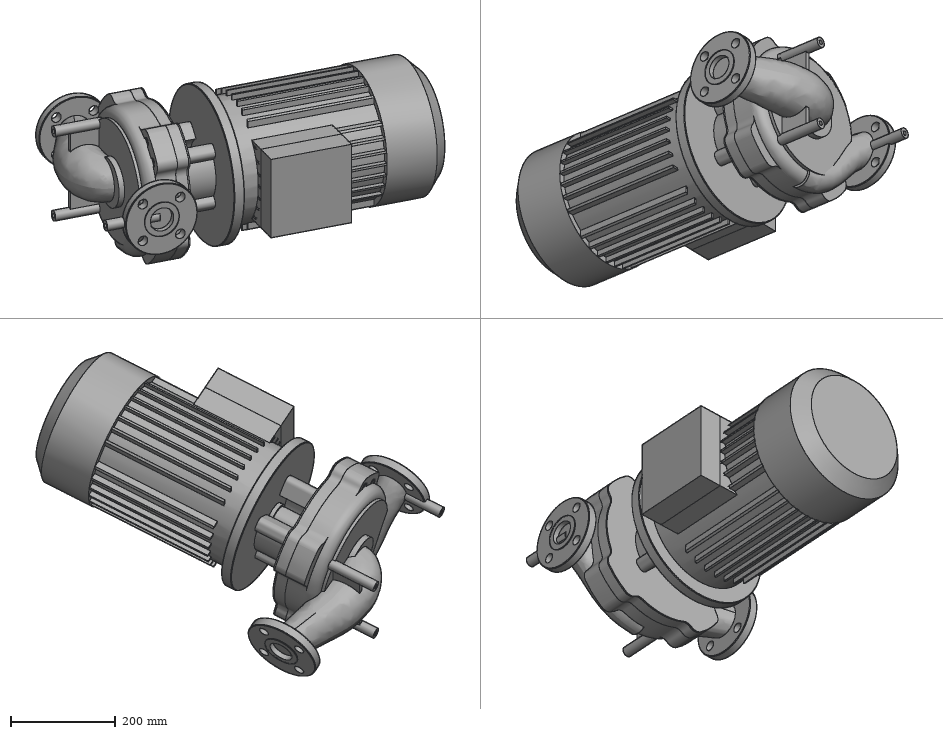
import cadquery as cq
import math


FLANGE_FRONT = 164.0
FLANGE_BACK = 186.0
FLANGE_RADIUS = 159.0
FLANGE_CHAMFER = 1.5
CORE_RADIUS = 127.5
FIN_TIP_RADIUS = 138.5
FIN_THICKNESS = 4.5
FIN_PITCH = 25.0
FINS_EACH_SIDE = 3
FIN_START = 228.0
COVER_START = 493.0
COVER_CONE_START = 597.0
COVER_END = 626.0
COVER_RADIUS = 140.0
COVER_END_RADIUS = 111.0

BOX_INNER_X = 95.0
BOX_SPLIT_X = 140.0
BOX_OUTER_X = 189.0
BOX_HEIGHT = 167.0
BOX_BACK = 397.0

SHAFT_RADIUS = 30.0
SHAFT_END = 155.5
COUPLING_RADIUS = 26.5

LANTERN_BASE_FRONT = 76.5
LANTERN_BASE_BACK = 79.5
LANTERN_RADIUS = 71.5
LANTERN_BORE_RADIUS = 51.5
ARM_END = 89.0
ARM_WIDTH = 29.5
ARM_CORNER = 11.0
ARM_ANGLES = (45, 135, 225, 315)

PLATE_FRONT = 53.0
LOBE_FRONT = 11.0
RIM_FRONT = -11.0
RIM_ROUNDING = 21.0
FACE_FRONT = -18.0
HUB_FRONT = -29.5
DRUM_RADIUS = 145.0
LOBE_RADIUS = 168.5
LOBE_CORNER = 20.0
LOBE_FOOT_ANGLE = 21.6
FACE_RADIUS = DRUM_RADIUS - RIM_ROUNDING
HUB_RADIUS = 50.0
SPOT_RADIUS = 9.0
SPOT_DEPTH = 1.5
SPOT_CIRCLE_RADIUS = 146.0
SPOT_ANGLES = (36.5, 53.5)

SUCTION_FACE = -250.5
DISCHARGE_FACE = 190.0
PORT_RADIUS = 75.0
PORT_THICKNESS = 19.0
PORT_CHAMFER = 1.5
RAISED_FACE_RADIUS = 36.0
RAISED_FACE_HEIGHT = 2.0
PORT_BORE_RADIUS = 24.0
PORT_BORE_DEPTH = 11.0
BOLT_CIRCLE_RADIUS = 55.0
BOLT_HOLE_RADIUS = 9.95
BOLT_HOLES = 4

FOOT_RADIUS = 10.7
FOOT_END = -110.5
FOOT_HOLE_RADIUS = 4.5
FOOT_HOLE_DEPTH = 15.0
REAR_FOOT_X = -79.0
REAR_FOOT_Z = 90.0
FRONT_FOOT_X = 171.5
WEB_THICKNESS = 9.5
WEB_FRONT = -77.0


def disc(radius, y_start, y_end, x=0.0, z=0.0):
    """Round bar along Y."""
    return cq.Workplane(
        cq.Solid.makeCylinder(radius, y_end - y_start, cq.Vector(x, y_start, z), cq.Vector(0, 1, 0))
    )


def block(x_range, y_range, z_range):
    """Box between the given limits."""
    size = [high - low for low, high in (x_range, y_range, z_range)]
    corner = cq.Vector(x_range[0], y_range[0], z_range[0])
    return cq.Workplane(cq.Solid.makeBox(*size, corner))


def make_fan_cover():
    return (
        disc(COVER_RADIUS, COVER_START, COVER_END)
        .faces(">Y")
        .edges()
        .chamfer(COVER_END - COVER_CONE_START, COVER_RADIUS - COVER_END_RADIUS)
    )


def make_motor_housing():
    """Round core with fins that stand up along X and along Z."""
    fins = None
    for number in range(-FINS_EACH_SIDE, FINS_EACH_SIDE + 1):
        middle = number * FIN_PITCH
        across = (middle - FIN_THICKNESS / 2, middle + FIN_THICKNESS / 2)
        along = (-FIN_TIP_RADIUS, FIN_TIP_RADIUS)
        length = (FIN_START, COVER_START)
        pair = block(across, length, along).union(block(along, length, across))
        fins = pair if fins is None else fins.union(pair)
    fins = fins.intersect(disc(FIN_TIP_RADIUS, FIN_START, COVER_START))
    return disc(CORE_RADIUS, FLANGE_BACK, COVER_START).union(fins)


def make_motor_flange():
    return disc(FLANGE_RADIUS, FLANGE_FRONT, FLANGE_BACK).edges("%CIRCLE").chamfer(FLANGE_CHAMFER)


def make_terminal_box_base(housing):
    """Block that fits over the core and the fins of the housing."""
    half = BOX_HEIGHT / 2
    return block((BOX_INNER_X, BOX_SPLIT_X), (FIN_START, BOX_BACK), (-half, half)).cut(housing)


def make_terminal_box_lid():
    half = BOX_HEIGHT / 2
    return block((BOX_SPLIT_X, BOX_OUTER_X), (FIN_START, BOX_BACK), (-half, half))


def polar(radius, degrees):
    angle = math.radians(degrees)
    return (radius * math.cos(angle), radius * math.sin(angle))


def toward(start, target, distance):
    """Point at a distance from start on the line to target."""
    length = math.dist(start, target)
    return tuple(a + (b - a) * distance / length for a, b in zip(start, target))


def lobed_prism(y_front, y_back):
    """Drum outline with four lobes, where equal inner and outer arcs blend each lobe into the drum."""
    foot_circle = DRUM_RADIUS + LOBE_CORNER
    tip_circle = LOBE_RADIUS - LOBE_CORNER
    cosine = (foot_circle**2 + tip_circle**2 - (2 * LOBE_CORNER) ** 2) / (2 * foot_circle * tip_circle)
    tip_angle = LOBE_FOOT_ANGLE + math.degrees(math.acos(cosine))
    origin = (0, 0)

    def blend(quarter, sign):
        """Points of one side of a lobe, from the drum to the tip."""
        middle = 90 * quarter + 45
        foot = polar(foot_circle, middle + sign * (45 - LOBE_FOOT_ANGLE))
        tip = polar(tip_circle, middle + sign * (45 - tip_angle))
        start = toward(foot, origin, LOBE_CORNER)
        join = toward(foot, tip, LOBE_CORNER)
        end = toward(origin, tip, LOBE_RADIUS)
        inner = toward(foot, toward(start, join, math.dist(start, join) / 2), LOBE_CORNER)
        outer = toward(tip, toward(join, end, math.dist(join, end) / 2), LOBE_CORNER)
        return start, inner, join, outer, end

    outline = cq.Workplane("XZ", origin=(0, y_back, 0)).moveTo(*blend(0, -1)[0])
    for quarter in range(4):
        start, inner, join, outer, end = blend(quarter, -1)
        outline = outline.threePointArc(inner, join).threePointArc(outer, end)
        start, inner, join, outer, end = blend(quarter, 1)
        outline = outline.threePointArc(polar(LOBE_RADIUS, 90 * quarter + 45), end)
        outline = outline.threePointArc(outer, join).threePointArc(inner, start)
        outline = outline.threePointArc(polar(DRUM_RADIUS, 90 * (quarter + 1)), blend(quarter + 1, -1)[0])
    return outline.close().extrude(y_back - y_front)


def make_shaft():
    return disc(SHAFT_RADIUS, SHAFT_END, FLANGE_FRONT)


def make_coupling():
    return disc(COUPLING_RADIUS, LANTERN_BASE_BACK, SHAFT_END)


def make_lantern():
    """Two curved walls on a thin lobed base, each ending in two arms, with windows between them."""
    wall = disc(LANTERN_RADIUS, LANTERN_BASE_BACK, FLANGE_FRONT)
    window_half = LANTERN_RADIUS * math.sqrt(2)
    length = FLANGE_FRONT - LANTERN_BASE_BACK
    for turn in (0, 180):
        window = (
            cq.Workplane("XZ", origin=(0, FLANGE_FRONT, 0))
            .polyline([(0, 0), (window_half, window_half), (-window_half, window_half)])
            .close()
            .extrude(length)
            .rotate((0, 0, 0), (0, 1, 0), turn)
        )
        wall = wall.cut(window)
    for angle in ARM_ANGLES:
        arm = (
            block((0, ARM_END), (LANTERN_BASE_BACK, FLANGE_FRONT), (-ARM_WIDTH / 2, ARM_WIDTH / 2))
            .edges("|Y and >X")
            .fillet(ARM_CORNER)
            .rotate((0, 0, 0), (0, 1, 0), angle)
        )
        wall = wall.union(arm)
    wall = wall.cut(disc(LANTERN_BORE_RADIUS, LANTERN_BASE_BACK, FLANGE_FRONT))
    return wall.union(lobed_prism(LANTERN_BASE_FRONT, LANTERN_BASE_BACK))


def make_back_plate():
    return lobed_prism(PLATE_FRONT, LANTERN_BASE_FRONT)


def pipe(stations):
    """Smooth round pipe through stations given as centre, direction and radius, cut off inside the flanges."""
    rings = [
        cq.Wire.makeCircle(radius, cq.Vector(*centre), cq.Vector(*direction))
        for centre, direction, radius in stations
    ]
    reach = PORT_RADIUS + DRUM_RADIUS
    limits = (SUCTION_FACE + PORT_THICKNESS, DISCHARGE_FACE - PORT_THICKNESS)
    room = block(limits, (-reach, reach), (-reach, reach))
    return cq.Workplane(cq.Solid.makeLoft(rings)).intersect(room)


def make_suction_pipe():
    """Widening pipe that dips towards -Y and then bends up into the hub."""
    return pipe(
        [
            ((-250.5, 5.0, 0), (1, 0, 0), 33.0),
            ((-228.0, -3.0, 0), (1, 0, 0), 36.0),
            ((-206.0, -12.0, 0), (1, 0, 0), 39.0),
            ((-177.0, -23.0, 0), (1, 0, 0), 43.5),
            ((-147.0, -34.0, 0), (1, 0, 0), 48.0),
            ((-118.0, -42.0, 0), (1, 0, 0), 51.0),
            ((-88.0, -46.5, 0), (1, 0, 0), 51.5),
            ((-59.0, -48.0, 0), (1, 0.1, 0), 51.0),
            ((-33.0, -40.5, 0), (1, 0.6, 0), 48.5),
            ((-15.0, -23.5, 0), (0.5, 1, 0), 44.0),
            ((-7.0, 4.0, 0), (0, 1, 0), 39.0),
        ]
    )


def make_discharge_pipe():
    """Pipe that leaves the bottom of the drum and climbs to the discharge port."""
    return pipe(
        [
            ((0, 9.0, -126.0), (1, 0, 0), 25.0),
            ((51.5, 8.0, -113.0), (1, 0, 0.55), 26.5),
            ((93.5, 6.0, -77.0), (1, 0, 1), 29.0),
            ((128.0, 3.0, -36.0), (1, 0, 1.1), 31.0),
            ((162.0, 0, -5.0), (1, 0, 0.65), 34.0),
            ((195.0, 0, 15.0), (1, 0, 0.5), 34.0),
        ]
    )


def make_port_flange(face_x, outward):
    """Pipe flange with a raised face, a shallow bore and four bolt holes."""

    def bar(radius, x_from, x_to, y=0.0, z=0.0):
        low, high = sorted((x_from, x_to))
        return cq.Workplane(
            cq.Solid.makeCylinder(radius, high - low, cq.Vector(low, y, z), cq.Vector(1, 0, 0))
        )

    front = face_x - outward * RAISED_FACE_HEIGHT
    back = front - outward * PORT_THICKNESS
    flange = bar(PORT_RADIUS, back, front).edges("%CIRCLE").chamfer(PORT_CHAMFER)
    flange = flange.union(bar(RAISED_FACE_RADIUS, front, face_x))
    for number in range(BOLT_HOLES):
        y, z = polar(BOLT_CIRCLE_RADIUS, 45 + number * 360 / BOLT_HOLES)
        flange = flange.cut(bar(BOLT_HOLE_RADIUS, back, front, y, z))
    return flange.cut(bar(PORT_BORE_RADIUS, face_x - outward * PORT_BORE_DEPTH, face_x))


def make_drum():
    """Round drum with a rounded rim, a raised face and a hub, turned about the shaft axis."""
    return (
        cq.Workplane("XY")
        .moveTo(0, PLATE_FRONT)
        .lineTo(DRUM_RADIUS, PLATE_FRONT)
        .lineTo(DRUM_RADIUS, RIM_FRONT + RIM_ROUNDING)
        .radiusArc((FACE_RADIUS, RIM_FRONT), RIM_ROUNDING)
        .lineTo(FACE_RADIUS, FACE_FRONT)
        .lineTo(HUB_RADIUS, FACE_FRONT)
        .lineTo(HUB_RADIUS, HUB_FRONT)
        .lineTo(0, HUB_FRONT)
        .close()
        .revolve(360, (0, 0, 0), (0, 1, 0))
    )


def make_casing():
    """Lobed drum with both pipes and port flanges, three feet and the web between the rear feet."""
    casing = lobed_prism(LOBE_FRONT, PLATE_FRONT)
    for angle in SPOT_ANGLES:
        x, z = polar(SPOT_CIRCLE_RADIUS, angle)
        casing = casing.cut(disc(SPOT_RADIUS, LOBE_FRONT, LOBE_FRONT + SPOT_DEPTH, x, z))
    casing = casing.union(make_drum())
    web = block(
        (REAR_FOOT_X - WEB_THICKNESS / 2, REAR_FOOT_X + WEB_THICKNESS / 2),
        (WEB_FRONT, RIM_FRONT),
        (-REAR_FOOT_Z, REAR_FOOT_Z),
    )
    casing = casing.union(web)
    casing = casing.union(make_suction_pipe()).union(make_discharge_pipe())
    feet = ((REAR_FOOT_X, REAR_FOOT_Z), (REAR_FOOT_X, -REAR_FOOT_Z), (FRONT_FOOT_X, 0))
    for x, z in feet:
        casing = casing.union(disc(FOOT_RADIUS, FOOT_END, 0, x, z))
        casing = casing.cut(disc(FOOT_HOLE_RADIUS, FOOT_END, FOOT_END + FOOT_HOLE_DEPTH, x, z))
    casing = casing.union(make_port_flange(SUCTION_FACE, -1))
    return casing.union(make_port_flange(DISCHARGE_FACE, 1))


def single_solid(body):
    """The one solid that a body consists of."""
    return body.val().Solids()[0]


motor_housing = make_motor_housing()
fan_cover = make_fan_cover()
motor_flange = make_motor_flange()
terminal_box_base = make_terminal_box_base(motor_housing)
terminal_box_lid = make_terminal_box_lid()
shaft = make_shaft()
coupling = make_coupling()
lantern = make_lantern()
back_plate = make_back_plate()
casing = make_casing()

result = cq.Compound.makeCompound(
    [
        single_solid(fan_cover),
        single_solid(motor_housing),
        single_solid(motor_flange),
        single_solid(terminal_box_base),
        single_solid(terminal_box_lid),
        single_solid(shaft),
        single_solid(coupling),
        single_solid(lantern),
        single_solid(back_plate),
        single_solid(casing),
    ]
)